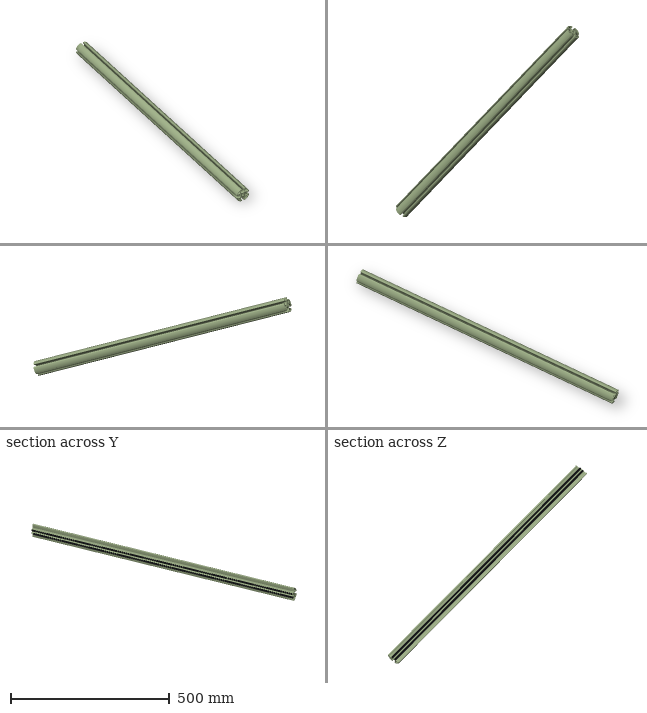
import cadquery as cq
import math

length = 914.4
width = 45.0
half_width = width / 2
corner_radius = 24.0
arc_blend_radius = 1.0

slot_opening = 8.2
slot_inner_width = 14.0
lip_thickness = 4.5
slot_depth = 14.5
slot_corner_chamfer = 1.6
lip_edge_radius = 0.4

outer_wall = 2.2
cavity_offset = 8.4
cavity_bend_height = 13.8
cavity_tip_lean = 0.5
cavity_tip_radius = 0.6

bore_diameter = 6.4
groove_width = 1.4
groove_span = 10.0


def extrude_profile(sketch):
    """Extrude a profile-plane outline over the full length."""
    return sketch.extrude(length / 2, both=True)


def around_axis(body, angle):
    return body.rotate((0, 0, 0), (1, 0, 0), angle)


def make_blank():
    """Square bar with its corners rounded by a circle about the axis and blended into the sides."""
    square = extrude_profile(cq.Workplane("YZ").rect(width, width))
    round_bar = extrude_profile(cq.Workplane("YZ").circle(corner_radius))
    return square.intersect(round_bar).edges("|X").fillet(arc_blend_radius)


def make_slot():
    """T-slot opening towards +Z, with chamfered floor corners and rounded lip edges."""
    half_opening = slot_opening / 2
    half_inner = slot_inner_width / 2
    underside = half_width - lip_thickness
    floor = half_width - slot_depth
    half_floor = half_inner - slot_corner_chamfer
    half_mouth = half_opening + lip_edge_radius
    round_start = half_width - lip_edge_radius
    arc_inset = lip_edge_radius * (1 - math.sqrt(0.5))
    arc_mid = (half_opening + arc_inset, half_width - arc_inset)
    outline = (
        cq.Workplane("YZ")
        .moveTo(half_floor, floor)
        .lineTo(half_inner, floor + slot_corner_chamfer)
        .lineTo(half_inner, underside)
        .lineTo(half_opening, underside)
        .lineTo(half_opening, round_start)
        .threePointArc(arc_mid, (half_mouth, half_width))
        .lineTo(-half_mouth, half_width)
        .threePointArc((-arc_mid[0], arc_mid[1]), (-half_opening, round_start))
        .lineTo(-half_opening, underside)
        .lineTo(-half_inner, underside)
        .lineTo(-half_inner, floor + slot_corner_chamfer)
        .lineTo(-half_floor, floor)
        .close()
    )
    return extrude_profile(outline)


def make_cavity():
    """Closed corner cavity in the +Y +Z quarter, symmetric about the diagonal."""
    radius = corner_radius - outer_wall
    tip_offset = cavity_offset - cavity_tip_lean
    tip_height = math.sqrt(radius**2 - tip_offset**2)
    arc_mid = radius * math.sqrt(0.5)
    outline = (
        cq.Workplane("YZ")
        .moveTo(cavity_offset, cavity_offset)
        .lineTo(cavity_bend_height, cavity_offset)
        .lineTo(tip_height, tip_offset)
        .threePointArc((arc_mid, arc_mid), (tip_offset, tip_height))
        .lineTo(cavity_offset, cavity_bend_height)
        .close()
    )
    cavity = extrude_profile(outline)
    return cavity.edges("|X and (>Y or >Z)").fillet(cavity_tip_radius)


def make_bore():
    """Round bore with a diagonal cross of shallow grooves."""
    bore = extrude_profile(cq.Workplane("YZ").circle(bore_diameter / 2))
    groove = extrude_profile(cq.Workplane("YZ").rect(groove_span, groove_width))
    for angle in (45, 135):
        bore = bore.union(around_axis(groove, angle))
    return bore


result = make_blank().cut(make_bore())
for side in range(4):
    angle = 90 * side
    result = result.cut(around_axis(make_slot(), angle))
    result = result.cut(around_axis(make_cavity(), angle))